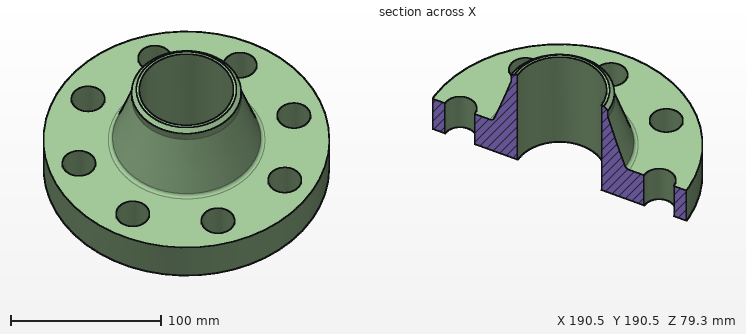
import cadquery as cq

flange_diameter = 190.5
flange_thickness = 28.6

overall_height = 79.25
hub_base_diameter = 100.0
neck_diameter = 73.0
neck_land_height = 5.8
base_fillet_radius = 3.0

bore_diameter = 62.7
root_face_width = 2.0
bevel_height = 2.6

bolt_circle_diameter = 149.2
bolt_hole_diameter = 22.2
bolt_hole_count = 8


def flange_with_hub():
    """Revolve the disc, conical hub, neck and weld bevel about Z."""
    neck_radius = neck_diameter / 2
    root_face_radius = bore_diameter / 2 + root_face_width
    bevel_start = overall_height - bevel_height
    profile = (
        cq.Workplane("XZ")
        .lineTo(flange_diameter / 2, 0)
        .lineTo(flange_diameter / 2, flange_thickness)
        .lineTo(hub_base_diameter / 2, flange_thickness)
        .lineTo(neck_radius, bevel_start - neck_land_height)
        .lineTo(neck_radius, bevel_start)
        .lineTo(root_face_radius, overall_height)
        .lineTo(0, overall_height)
        .close()
    )
    return profile.revolve(360, (0, 0, 0), (0, 1, 0))


def fillet_hub_base(body):
    """Round the inner corner where the hub meets the flange face."""
    hub_radius = hub_base_diameter / 2
    tolerance = 0.1
    corner = cq.selectors.BoxSelector(
        (-hub_radius - tolerance, -hub_radius - tolerance, flange_thickness - tolerance),
        (hub_radius + tolerance, hub_radius + tolerance, flange_thickness + tolerance),
        boundingbox=True,
    )
    return body.edges(corner).fillet(base_fillet_radius)


def cut_bore(body):
    """Cut the through bore along the axis."""
    bore = cq.Workplane("XY").circle(bore_diameter / 2).extrude(overall_height)
    return body.cut(bore)


def cut_bolt_holes(body):
    """Cut the ring of through bolt holes, the first one on +X."""
    holes = (
        cq.Workplane("XY")
        .polarArray(bolt_circle_diameter / 2, 0, 360, bolt_hole_count)
        .circle(bolt_hole_diameter / 2)
        .extrude(flange_thickness)
    )
    return body.cut(holes)


result = cut_bolt_holes(cut_bore(fillet_hub_base(flange_with_hub())))